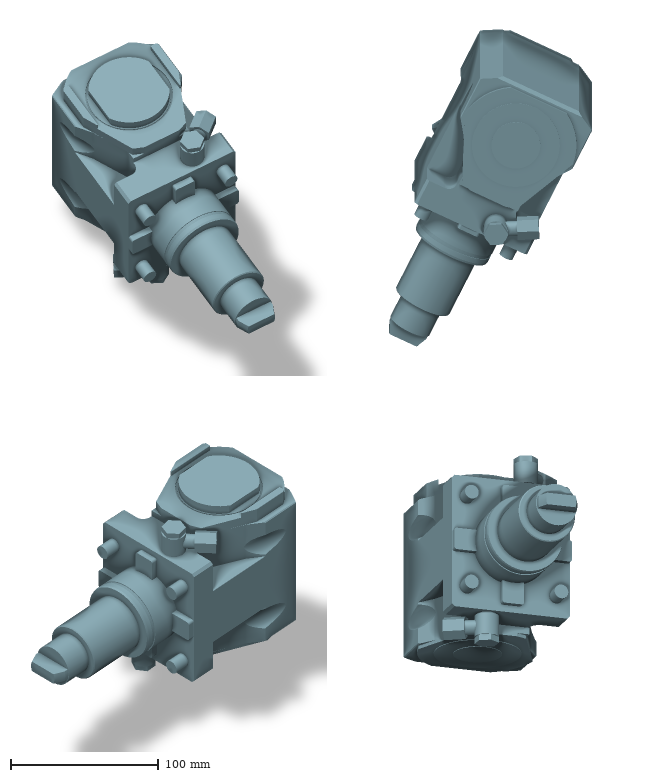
import cadquery as cq
import math

TOTAL_LENGTH = 213.0
HALF_WIDTH = 42.4
CUT_MARGIN = 10.6

HOUSING_HALF_HEIGHT = 51.8
HOUSING_END = 81.5
CORNER_LENGTH = 7.7
REAR_FACE_HALF_WIDTH = 28.5
TOP_BEVEL = 1.0
BOTTOM_BEVEL_HEIGHT = 3.5
BOTTOM_BEVEL_LENGTH = 2.0
EDGE_BEVEL = 0.6
WEB_HALF_HEIGHT = 22.2

FLANGE_START = 89.7
FLANGE_END = 108.5
FLANGE_HALF_HEIGHT = 47.0
FLANGE_BEVEL = 2.0

POCKET_START = 38.0
KNEE_X = 49.0
KNEE_Y = 34.5
NECK_START = 75.0
NECK_HALF_WIDTH = 22.4
POCKET_FILLET = 6.4

SCALLOP_RADIUS = 9.8
SCALLOP_HEIGHT = 32.2
SCALLOP_START = 17.9
SCALLOP_END = 51.3
SCALLOP_END_Y = 33.7

SPINDLE_X = 38.8
COVER_RADIUS = 44.5
COVER_REAR = 0.6
COVER_HALF_WIDTH = 37.7
COVER_SLANT_START = 41.3
COVER_CORNER_X = 78.5
COVER_CORNER_Y = 21.0
COVER_END_HALF_WIDTH = 13.6
COVER_TOP = 58.8
RAIL_START = 13.2
RAIL_END = 51.5
RAIL_INNER_Y = 32.4
RAIL_TOP = 62.6
RECESS_RADIUS = 29.8
RECESS_DEPTH = 1.0
DISC_RADIUS = 27.5
DISC_FLAT = 23.2
DISC_LIP_FLAT = 23.9
DISC_LIP_BASE = 64.0
DISC_TOP = 65.0
FOOT_RING_RADIUS = 28.5
FOOT_RING_DROP = 0.5
LOWER_COVER_REAR = 3.6
LOWER_COVER_RADIUS = 41.1
LOWER_COVER_BOTTOM = -54.0
LOWER_RING_RADIUS = 29.8
LOWER_RING_BOTTOM = -54.5
LOWER_DISC_RADIUS = 16.6
LOWER_DISC_BOTTOM = -55.0

COLLAR_RADIUS = 27.3
GROOVE_START = 130.5
GROOVE_END = 133.3
GROOVE_DEPTH = 0.6
COLLAR_END = 138.5
COLLAR_BEVEL_LENGTH = 1.5
COLLAR_BEVEL_DEPTH = 0.5
SHANK_RADIUS = 20.2
SHANK_END = 183.2
SHANK_BEVEL = 0.6
PILOT_RADIUS = 14.7
PILOT_END = 202.5
TANG_RADIUS = 14.0
TANG_TAPER_START = 205.5
TANG_TIP_RADIUS = 10.9
TANG_THICKNESS = 8.3

BOLT_OFFSET = 32.2
BOLT_RADIUS = 5.0
BOLT_END = 120.0
KEY_END = 113.0
KEY_HALF_WIDTH = 7.7
KEY_ROUNDING = 1.7
KEY_OUTER = 42.2
KEY_INNER = 23.5

FITTING_X = 98.5
FITTING_Y = 14.0
FITTING_FOOT_RADIUS = 7.0
FITTING_FOOT_HEIGHT = 1.0
FITTING_RADIUS = 8.3
HEAD_HEIGHT = 4.3
FITTING_TOP = 67.5
ARM_HEIGHT = 55.5
ARM_LENGTH = 29.2
ARM_RADIUS = 5.1
NUT_RADIUS = 8.0
NUT_LENGTH = 14.7
NUT_BORE_RADIUS = 2.8
UPPER_ARM_ANGLE = 130.0
LOWER_ARM_ANGLE = -118.5


def box(x0, x1, y0, y1, z0, z1):
    return cq.Workplane("XY").box(x1 - x0, y1 - y0, z1 - z0, centered=False).translate((x0, y0, z0))


def disc(x, y, radius, z0, z1):
    return cq.Workplane("XY").workplane(offset=z0).center(x, y).circle(radius).extrude(z1 - z0)


def prism_z(points, z0, z1):
    return cq.Workplane("XY").workplane(offset=z0).polyline(points).close().extrude(z1 - z0)


def prism_y(points):
    """Closed XZ outline running across the whole width."""
    reach = HALF_WIDTH + CUT_MARGIN
    return cq.Workplane("XZ").polyline(points).close().extrude(reach, both=True)


def mirrored(points):
    """Complete an upper-half (y > 0) outline by mirroring it in the X axis."""
    return points + [(x, -y) for x, y in reversed(points)]


def side_pocket(side, z_direction):
    """Pocket in one side of the housing, above or below the web."""
    outer = HALF_WIDTH + CUT_MARGIN
    points = [
        (POCKET_START, HALF_WIDTH),
        (KNEE_X, KNEE_Y),
        (NECK_START, NECK_HALF_WIDTH),
        (FLANGE_START, NECK_HALF_WIDTH),
        (FLANGE_START, outer),
        (POCKET_START, outer),
    ]
    height = HOUSING_HALF_HEIGHT + CUT_MARGIN - WEB_HALF_HEIGHT
    pocket = prism_z(points, 0, height)
    for corner_x in (NECK_START, FLANGE_START):
        corner = cq.selectors.NearestToPointSelector((corner_x, NECK_HALF_WIDTH, height / 2))
        pocket = pocket.edges("|Z").edges(corner).fillet(POCKET_FILLET)
    pocket = pocket.translate((0, 0, WEB_HALF_HEIGHT))
    if side < 0:
        pocket = pocket.mirror("XZ")
    if z_direction < 0:
        pocket = pocket.mirror("XY")
    return pocket


def scallop(side, z_direction):
    """Round channel that sinks into the side face and leaves through the pocket wall."""
    run = SCALLOP_END - SCALLOP_START
    drop = HALF_WIDTH - SCALLOP_END_Y
    length = math.hypot(run, drop)
    along = (run / length, -drop / length)
    outward = (drop / length, run / length)
    start = cq.Vector(
        SCALLOP_START + SCALLOP_RADIUS * outward[0] - CUT_MARGIN * along[0],
        side * (HALF_WIDTH + SCALLOP_RADIUS * outward[1] - CUT_MARGIN * along[1]),
        z_direction * SCALLOP_HEIGHT,
    )
    direction = cq.Vector(along[0], side * along[1], 0)
    return cq.Workplane(cq.Solid.makeCylinder(SCALLOP_RADIUS, length + 2 * CUT_MARGIN, start, direction))


def make_housing():
    outline = mirrored([
        (0, REAR_FACE_HALF_WIDTH),
        (CORNER_LENGTH, HALF_WIDTH),
        (HOUSING_END, HALF_WIDTH),
    ])
    h = HOUSING_HALF_HEIGHT
    housing = prism_z(outline, -h, h)
    for side in (">Y", "<Y"):
        housing = housing.faces(side).edges("|X").chamfer(EDGE_BEVEL)
    housing = housing.cut(prism_y([(0, h - TOP_BEVEL), (TOP_BEVEL, h), (0, h)]))
    housing = housing.cut(prism_y([(0, -h + BOTTOM_BEVEL_HEIGHT), (BOTTOM_BEVEL_LENGTH, -h), (0, -h)]))
    flange = box(HOUSING_END, FLANGE_END, -HALF_WIDTH, HALF_WIDTH, -FLANGE_HALF_HEIGHT, FLANGE_HALF_HEIGHT)
    housing = housing.union(flange.edges("|X").chamfer(FLANGE_BEVEL))
    for side in (1, -1):
        for z_direction in (1, -1):
            housing = housing.cut(side_pocket(side, z_direction))
            housing = housing.cut(scallop(side, z_direction))
    return housing


def cover_blank(rear, half_width, z0, z1):
    """Cover plate that follows the waist of the housing."""
    slope = (COVER_HALF_WIDTH - COVER_CORNER_Y) / (COVER_CORNER_X - COVER_SLANT_START)
    slant_start = COVER_CORNER_X - (half_width - COVER_CORNER_Y) / slope
    outline = mirrored([
        (rear, half_width),
        (slant_start, half_width),
        (COVER_CORNER_X, COVER_CORNER_Y),
        (HOUSING_END, COVER_END_HALF_WIDTH),
    ])
    return prism_z(outline, z0, z1)


def rear_rounding(radius, z0, z1):
    """Region that rounds the rear corners of a cover about the spindle axis."""
    front = box(SPINDLE_X, HOUSING_END, -HALF_WIDTH, HALF_WIDTH, z0, z1)
    return disc(SPINDLE_X, 0, radius, z0, z1).union(front)


def flatted_disc(radius, flat, z0, z1):
    keep = box(SPINDLE_X - radius, SPINDLE_X + radius, -flat, flat, z0, z1)
    return disc(SPINDLE_X, 0, radius, z0, z1).intersect(keep)


def make_upper_cover():
    base = HOUSING_HALF_HEIGHT
    blank = cover_blank(COVER_REAR, COVER_HALF_WIDTH, base, RAIL_TOP)
    blank = blank.intersect(rear_rounding(COVER_RADIUS, base, RAIL_TOP))
    keep = box(0, HOUSING_END, -HALF_WIDTH, HALF_WIDTH, base, COVER_TOP)
    for y0 in (RAIL_INNER_Y, -HALF_WIDTH):
        y1 = y0 + HALF_WIDTH - RAIL_INNER_Y
        keep = keep.union(box(RAIL_START, RAIL_END, y0, y1, base, RAIL_TOP))
    cover = blank.intersect(keep)
    cover = cover.cut(disc(SPINDLE_X, 0, RECESS_RADIUS, COVER_TOP - RECESS_DEPTH, COVER_TOP))
    cover = cover.union(disc(SPINDLE_X, 0, FOOT_RING_RADIUS, base, COVER_TOP - FOOT_RING_DROP))
    cover = cover.union(flatted_disc(DISC_RADIUS, DISC_FLAT, base, DISC_LIP_BASE))
    return cover.union(flatted_disc(DISC_RADIUS, DISC_LIP_FLAT, DISC_LIP_BASE, DISC_TOP))


def make_lower_cover():
    top = -HOUSING_HALF_HEIGHT
    cover = cover_blank(LOWER_COVER_REAR, LOWER_COVER_RADIUS, LOWER_COVER_BOTTOM, top)
    cover = cover.intersect(rear_rounding(LOWER_COVER_RADIUS, LOWER_COVER_BOTTOM, top))
    cover = cover.union(disc(SPINDLE_X, 0, LOWER_RING_RADIUS, LOWER_RING_BOTTOM, top))
    return cover.union(disc(SPINDLE_X, 0, LOWER_DISC_RADIUS, LOWER_DISC_BOTTOM, top))


def revolve_x(profile):
    return cq.Workplane("XY").polyline(profile).close().revolve(360, (0, 0, 0), (1, 0, 0))


def make_shank():
    shank = revolve_x([
        (FLANGE_START, 0),
        (FLANGE_START, COLLAR_RADIUS),
        (GROOVE_START, COLLAR_RADIUS),
        (GROOVE_START, COLLAR_RADIUS - GROOVE_DEPTH),
        (GROOVE_END, COLLAR_RADIUS - GROOVE_DEPTH),
        (GROOVE_END, COLLAR_RADIUS),
        (COLLAR_END - COLLAR_BEVEL_LENGTH, COLLAR_RADIUS),
        (COLLAR_END, COLLAR_RADIUS - COLLAR_BEVEL_DEPTH),
        (COLLAR_END, SHANK_RADIUS),
        (SHANK_END - SHANK_BEVEL, SHANK_RADIUS),
        (SHANK_END, SHANK_RADIUS - SHANK_BEVEL),
        (SHANK_END, PILOT_RADIUS),
        (PILOT_END, PILOT_RADIUS),
        (PILOT_END, 0),
    ])
    tang = revolve_x([
        (SHANK_END, 0),
        (SHANK_END, TANG_RADIUS),
        (TANG_TAPER_START, TANG_RADIUS),
        (TOTAL_LENGTH, TANG_TIP_RADIUS),
        (TOTAL_LENGTH, 0),
    ])
    half = TANG_THICKNESS / 2
    return shank.union(tang.intersect(box(SHANK_END, TOTAL_LENGTH, -TANG_RADIUS, TANG_RADIUS, -half, half)))


def make_bolts():
    spacing = 2 * BOLT_OFFSET
    plane = cq.Workplane("YZ").workplane(offset=FLANGE_START)
    corners = plane.rect(spacing, spacing, forConstruction=True).vertices()
    return corners.circle(BOLT_RADIUS).extrude(BOLT_END - FLANGE_START)


def make_keys():
    """Four keys around the shank on the flange face."""
    key = box(FLANGE_START, KEY_END, -KEY_HALF_WIDTH, KEY_HALF_WIDTH, KEY_INNER, KEY_OUTER)
    key = key.faces(">Z").edges("|X").fillet(KEY_ROUNDING)
    keys = key
    for quarter in (1, 2, 3):
        keys = keys.union(key.rotate((0, 0, 0), (1, 0, 0), 90 * quarter))
    return keys


def hexagon(plane, radius, length):
    return plane.polygon(6, 2 * radius).extrude(length)


def make_fitting(arm_angle):
    """Fitting standing on the Z axis, its swivel arm turned to arm_angle."""
    seat = FLANGE_HALF_HEIGHT
    shoulder = seat + FITTING_FOOT_HEIGHT
    head_base = FITTING_TOP - HEAD_HEIGHT
    fitting = disc(0, 0, FITTING_FOOT_RADIUS, seat - FITTING_FOOT_HEIGHT, shoulder)
    fitting = fitting.union(disc(0, 0, FITTING_RADIUS, shoulder, head_base))
    fitting = fitting.union(hexagon(cq.Workplane("XY", (0, 0, head_base)), FITTING_RADIUS, HEAD_HEIGHT))
    arm = cq.Workplane("YZ").circle(ARM_RADIUS).extrude(ARM_LENGTH)
    nut_plane = cq.Workplane("YZ", (ARM_LENGTH - NUT_LENGTH, 0, 0))
    nut = hexagon(nut_plane, NUT_RADIUS, NUT_LENGTH).rotate((0, 0, 0), (1, 0, 0), 90)
    bore = nut_plane.circle(NUT_BORE_RADIUS).extrude(NUT_LENGTH)
    arm = arm.union(nut).cut(bore).translate((0, 0, ARM_HEIGHT))
    return fitting.union(arm).rotate((0, 0, 0), (0, 0, 1), arm_angle)


def make_fittings():
    upper = make_fitting(UPPER_ARM_ANGLE).translate((FITTING_X, FITTING_Y, 0))
    lower = make_fitting(LOWER_ARM_ANGLE).mirror("XY").translate((FITTING_X, -FITTING_Y, 0))
    return upper.union(lower)


result = make_housing()
for component in (
    make_upper_cover(),
    make_lower_cover(),
    make_shank(),
    make_bolts(),
    make_keys(),
    make_fittings(),
):
    result = result.union(component)